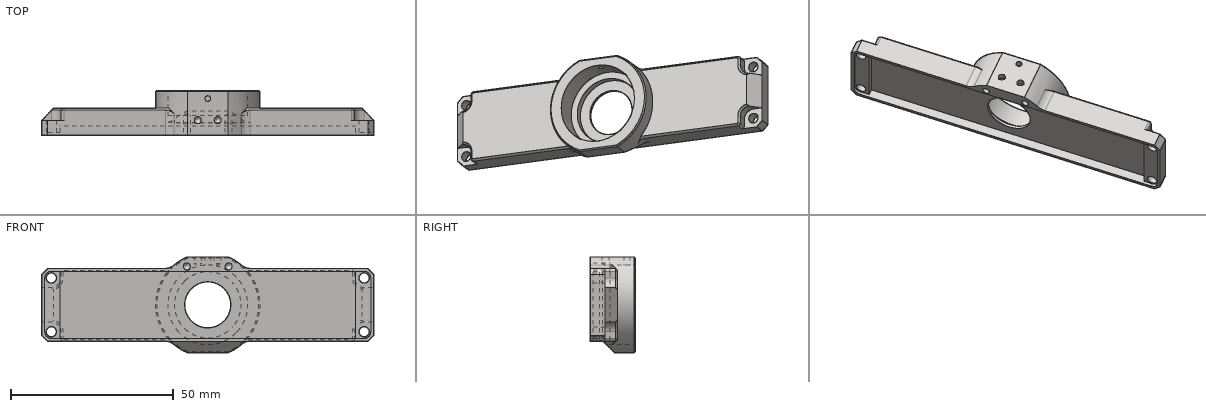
import cadquery as cq
import math

length = 102.0
bar_height = 22.4
bar_depth = 8.4
plate_depth = 4.6
corner_chamfer = 1.8
back_chamfer = 0.6
end_slope_run = 3.6

wall = 0.9
ledge_depth = 0.9
recess_depth = 2.9
recess_length = 90.8

screw_inset = 3.0
screw_hole_diameter = 3.1
pocket_radius = 3.0
pocket_mouth_round = 0.9

boss_radius = 16.0
boss_height = 29.5
boss_depth = 13.9
boss_rim_chamfer = 0.4
neck_radius = 4.0
overhang_start = 4.0

opening_radius = 7.0
lip_back = 3.8
seat_radius = 10.2
seat_back = 6.1
bore_radius = 12.2

front_hole_diameter = 2.1
front_hole_x = 6.4
front_hole_z = 11.8
front_hole_depth = 6.1
drill_point_angle = 118.0
top_hole_diameter = 2.1
top_hole_x = 3.1
top_hole_y = 4.7
top_hole_depth = 2.0
rear_hole_diameter = 1.7
rear_hole_y = 11.3

half_length = length / 2
half_bar = bar_height / 2
half_boss = boss_height / 2
screw_x = half_length - screw_inset
screw_z = half_bar - screw_inset


def front_plane(y):
    """Sketch plane parallel to XZ at depth y, facing the front."""
    return cq.Workplane("XZ", origin=(0, y, 0))


def extrude_back(sketch, depth):
    return sketch.extrude(-depth)


def in_four_quadrants(solid):
    pair = solid.union(solid.mirror("YZ"))
    return pair.union(pair.mirror("XY"))


def make_plate():
    plate = extrude_back(front_plane(0).rect(length, bar_height), plate_depth)
    return plate.edges("|Y").chamfer(corner_chamfer)


def make_screw_pocket():
    """Open corner pocket: round about the screw, mouth flared by a convex round."""
    inner_x = screw_x - pocket_radius
    inner_z = screw_z - pocket_radius
    diagonal = pocket_radius * math.sqrt(0.5)
    flare = pocket_mouth_round * (1 - math.sqrt(0.5))
    sketch = (
        front_plane(plate_depth)
        .moveTo(half_length, inner_z)
        .lineTo(screw_x, inner_z)
        .threePointArc((screw_x - diagonal, screw_z - diagonal), (inner_x, screw_z))
        .lineTo(inner_x, half_bar - pocket_mouth_round)
        .threePointArc(
            (inner_x - flare, half_bar - flare),
            (inner_x - pocket_mouth_round, half_bar),
        )
        .lineTo(half_length, half_bar)
        .close()
    )
    return extrude_back(sketch, bar_depth - plate_depth)


def make_back_layer():
    layer_depth = bar_depth - plate_depth
    layer = extrude_back(front_plane(plate_depth).rect(length, bar_height), layer_depth)
    layer = layer.cut(in_four_quadrants(make_screw_pocket()))
    layer = layer.faces(">Y").edges().chamfer(back_chamfer)
    slope_top = half_length - end_slope_run
    side_profile = (
        cq.Workplane("XY")
        .moveTo(-half_length, plate_depth)
        .lineTo(-slope_top, bar_depth)
        .lineTo(slope_top, bar_depth)
        .lineTo(half_length, plate_depth)
        .close()
        .extrude(half_bar, both=True)
    )
    return layer.intersect(side_profile)


def make_boss():
    boss = extrude_back(front_plane(0).circle(boss_radius), boss_depth)
    flats = extrude_back(front_plane(0).rect(length, boss_height), boss_depth)
    return boss.intersect(flats).faces(">Y").edges().chamfer(boss_rim_chamfer)


def make_necks():
    """Concave blends from the bar to the boss, trimmed by the bar's back chamfer plane."""
    centre_z = half_bar + neck_radius
    centre_distance = boss_radius + neck_radius
    centre_x = math.sqrt(centre_distance**2 - centre_z**2)
    tangent_x = centre_x * boss_radius / centre_distance
    tangent_z = centre_z * boss_radius / centre_distance
    middle_angle = (math.atan2(tangent_z - centre_z, tangent_x - centre_x) - math.pi / 2) / 2
    middle = (
        centre_x + neck_radius * math.cos(middle_angle),
        centre_z + neck_radius * math.sin(middle_angle),
    )
    sketch = (
        front_plane(0)
        .moveTo(centre_x, half_bar)
        .threePointArc(middle, (tangent_x, tangent_z))
        .lineTo(opening_radius, half_bar)
        .close()
    )
    chamfer_reach = bar_depth + half_bar - back_chamfer
    chamfer_limit = (
        cq.Workplane("YZ")
        .moveTo(0, 0)
        .lineTo(chamfer_reach, 0)
        .lineTo(0, chamfer_reach)
        .close()
        .extrude(half_length)
    )
    return in_four_quadrants(extrude_back(sketch, bar_depth).intersect(chamfer_limit))


def make_underside_cut():
    """Wedge that clears the boss below the bar, leaving a 45 degree overhang."""
    drop = boss_radius - half_bar
    return (
        cq.Workplane("YZ")
        .moveTo(0, -half_bar)
        .lineTo(overhang_start, -half_bar)
        .lineTo(overhang_start + drop, -boss_radius)
        .lineTo(0, -boss_radius)
        .close()
        .extrude(boss_radius, both=True)
    )


def make_front_recess():
    inner_height = bar_height - 2 * wall
    shallow = extrude_back(front_plane(0).rect(length - 2 * wall, inner_height), ledge_depth)
    shallow = shallow.edges("|Y").fillet(screw_inset - wall)
    deep = extrude_back(front_plane(0).rect(recess_length, inner_height), recess_depth)
    return shallow.union(deep)


def make_screw_holes():
    hole = extrude_back(
        front_plane(0).center(screw_x, screw_z).circle(screw_hole_diameter / 2), bar_depth
    )
    return in_four_quadrants(hole)


def make_bore():
    opening = extrude_back(front_plane(0).circle(opening_radius), boss_depth)
    seat = extrude_back(front_plane(lip_back).circle(seat_radius), boss_depth - lip_back)
    bore = extrude_back(front_plane(seat_back).circle(bore_radius), boss_depth - seat_back)
    return opening.union(seat).union(bore)


def make_drilled_hole(entry, direction, diameter, depth):
    """Blind hole with a conical drill point beyond its full-diameter depth."""
    radius = diameter / 2
    point_length = radius / math.tan(math.radians(drill_point_angle / 2))
    start = cq.Vector(*entry)
    axis = cq.Vector(*direction)
    shaft = cq.Solid.makeCylinder(radius, depth, start, axis)
    point = cq.Solid.makeCone(radius, 0, point_length, start + axis * depth, axis)
    return cq.Workplane(shaft).union(cq.Workplane(point))


def make_front_holes():
    entry = (front_hole_x, 0, front_hole_z)
    hole = make_drilled_hole(entry, (0, 1, 0), front_hole_diameter, front_hole_depth)
    return hole.union(hole.mirror("YZ"))


def make_top_holes():
    entry = (top_hole_x, top_hole_y, half_boss)
    hole = make_drilled_hole(entry, (0, 0, -1), top_hole_diameter, top_hole_depth)
    return hole.union(hole.mirror("YZ"))


def make_rear_hole():
    """Hole from the top flat down into the bore."""
    sketch = cq.Workplane("XY").center(0, rear_hole_y).circle(rear_hole_diameter / 2)
    return sketch.extrude(half_boss)


result = (
    make_plate()
    .union(make_back_layer())
    .union(make_boss())
    .union(make_necks())
    .cut(make_underside_cut())
    .cut(make_front_recess())
    .cut(make_screw_holes())
    .cut(make_bore())
    .cut(make_front_holes())
    .cut(make_top_holes())
    .cut(make_rear_hole())
)